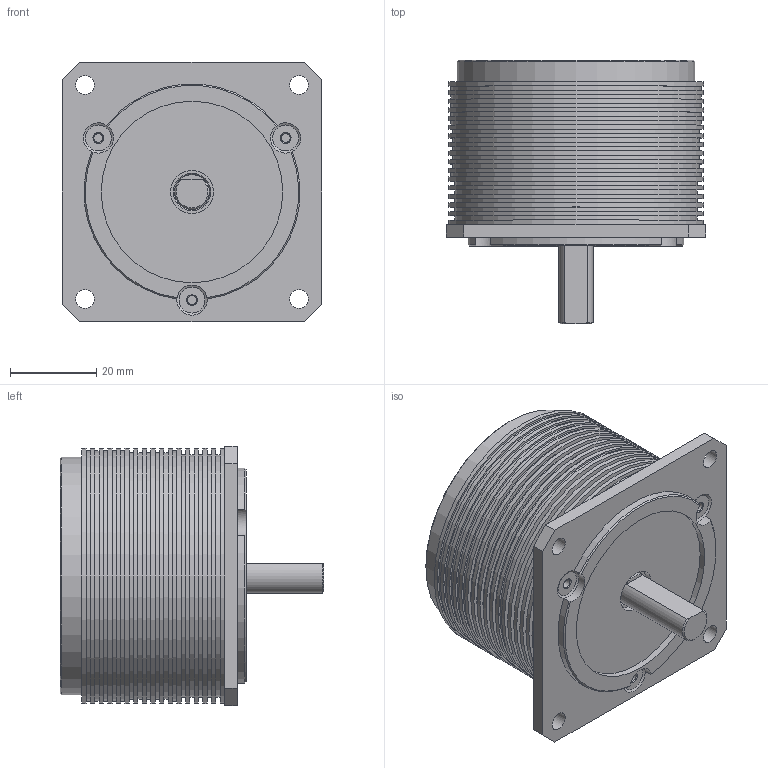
import cadquery as cq
import math


PLATE_SIDE = 60.0
PLATE_THICKNESS = 3.0
PLATE_CORNER_CHAMFER = 4.0
MOUNT_HOLE_DIAMETER = 4.3
MOUNT_HOLE_SPACING = 49.5

FIN_DIAMETER = 59.0
FIN_THICKNESS = 1.0
SHALLOW_GROOVE = 58.0
MEDIUM_GROOVE = 57.1
DEEP_GROOVE = 56.0
GROOVE_DIAMETERS = 5 * [DEEP_GROOVE] + [SHALLOW_GROOVE] + 5 * [MEDIUM_GROOVE] + 5 * [SHALLOW_GROOVE]
CAP_DIAMETER = 55.0
CAP_LENGTH = 5.0
CAP_CHAMFER = 0.3

BOSS_DIAMETER = 50.0
BOSS_HEIGHT = 2.0
BOSS_CHAMFER = 0.3
RECESS_DIAMETER = 42.0
RECESS_DEPTH = 1.5
SHAFT_WELL_DIAMETER = 10.0
SHAFT_WELL_DEPTH = 1.8
SHAFT_BORE_DIAMETER = 8.6
SHAFT_BORE_TAPER_DEPTH = 0.3

SHAFT_DIAMETER = 8.0
SHAFT_LENGTH = 20.0
SHAFT_FLAT_HEIGHT = 3.0
SHAFT_TIP_CHAMFER = 0.3

SEAT_CIRCLE_RADIUS = 25.0
SEAT_ANGLES = (30.0, 150.0, 270.0)
SEAT_DIAMETER = 7.0
SEAT_FLOOR_DIAMETER = 6.0
SEAT_DEPTH = 0.3
SOCKET_RIM_DIAMETER = 2.5
SOCKET_DIAMETER = 2.1
SOCKET_TAPER_DEPTH = 0.2
SOCKET_DEPTH = 2.0


def cylinder(diameter, y_start, y_end, x=0.0, z=0.0):
    """Cylinder along Y between two Y positions."""
    return cq.Workplane(
        cq.Solid.makeCylinder(diameter / 2, y_end - y_start, cq.Vector(x, y_start, z), cq.Vector(0, 1, 0))
    )


def cone(start_diameter, end_diameter, y_start, y_end, x=0.0, z=0.0):
    """Truncated cone along Y between two Y positions."""
    return cq.Workplane(
        cq.Solid.makeCone(
            start_diameter / 2, end_diameter / 2, y_end - y_start, cq.Vector(x, y_start, z), cq.Vector(0, 1, 0)
        )
    )


def make_plate():
    plate = (
        cq.Workplane("XY")
        .box(PLATE_SIDE, PLATE_THICKNESS, PLATE_SIDE)
        .translate((0, PLATE_THICKNESS / 2, 0))
        .edges("|Y")
        .chamfer(PLATE_CORNER_CHAMFER)
    )
    half_spacing = MOUNT_HOLE_SPACING / 2
    for x in (-half_spacing, half_spacing):
        for z in (-half_spacing, half_spacing):
            plate = plate.cut(cylinder(MOUNT_HOLE_DIAMETER, 0, PLATE_THICKNESS, x, z))
    return plate


def make_body():
    """Alternating fins and grooves, closed by the rear cap, as one revolved profile."""
    fin_radius = FIN_DIAMETER / 2
    cap_radius = CAP_DIAMETER / 2
    y = PLATE_THICKNESS
    profile = cq.Workplane("XY").moveTo(0, y).lineTo(fin_radius, y)
    for groove_diameter in GROOVE_DIAMETERS:
        groove_radius = groove_diameter / 2
        y += FIN_THICKNESS
        profile = profile.lineTo(fin_radius, y).lineTo(groove_radius, y)
        y += FIN_THICKNESS
        profile = profile.lineTo(groove_radius, y).lineTo(fin_radius, y)
    y += FIN_THICKNESS
    profile = profile.lineTo(fin_radius, y).lineTo(cap_radius, y)
    y += CAP_LENGTH
    profile = profile.lineTo(cap_radius, y - CAP_CHAMFER).lineTo(cap_radius - CAP_CHAMFER, y)
    return profile.lineTo(0, y).close().revolve(360, (0, 0, 0), (0, 1, 0))


def make_boss():
    return cylinder(BOSS_DIAMETER, -BOSS_HEIGHT, 0).faces("<Y").edges().chamfer(BOSS_CHAMFER)


def make_shaft_pocket():
    """Round recess in the boss with a well around the shaft, tapered at its floor."""
    recess_floor = RECESS_DEPTH - BOSS_HEIGHT
    well_floor = recess_floor + SHAFT_WELL_DEPTH
    recess = cylinder(RECESS_DIAMETER, -BOSS_HEIGHT, recess_floor)
    well = cylinder(SHAFT_WELL_DIAMETER, recess_floor, well_floor)
    bore = cone(SHAFT_BORE_DIAMETER, SHAFT_DIAMETER, well_floor, well_floor + SHAFT_BORE_TAPER_DEPTH)
    return recess.union(well).union(bore)


def make_shaft():
    """Round shaft with a flat facing +Z that ends at the plate face."""
    shaft = cylinder(SHAFT_DIAMETER, -SHAFT_LENGTH, PLATE_THICKNESS)
    shaft = shaft.faces("<Y").edges().chamfer(SHAFT_TIP_CHAMFER)
    flat_cut = (
        cq.Workplane("XY")
        .box(SHAFT_DIAMETER, SHAFT_LENGTH, SHAFT_DIAMETER, centered=(True, False, False))
        .translate((0, -SHAFT_LENGTH, SHAFT_FLAT_HEIGHT))
    )
    return shaft.cut(flat_cut)


def make_screw_seat(angle):
    """Clearance through the boss, a tapered seat in the plate and a central socket."""
    x = SEAT_CIRCLE_RADIUS * math.cos(math.radians(angle))
    z = SEAT_CIRCLE_RADIUS * math.sin(math.radians(angle))
    clearance = cylinder(SEAT_DIAMETER, -BOSS_HEIGHT, 0, x, z)
    seat = cone(SEAT_DIAMETER, SEAT_FLOOR_DIAMETER, 0, SEAT_DEPTH, x, z)
    socket_rim = cone(SOCKET_RIM_DIAMETER, SOCKET_DIAMETER, SEAT_DEPTH, SEAT_DEPTH + SOCKET_TAPER_DEPTH, x, z)
    socket = cylinder(SOCKET_DIAMETER, 0, SEAT_DEPTH + SOCKET_DEPTH, x, z)
    return clearance.union(seat).union(socket_rim).union(socket)


motor = make_plate().union(make_body()).union(make_boss())
motor = motor.cut(make_shaft_pocket())
for seat_angle in SEAT_ANGLES:
    motor = motor.cut(make_screw_seat(seat_angle))

result = motor.union(make_shaft())